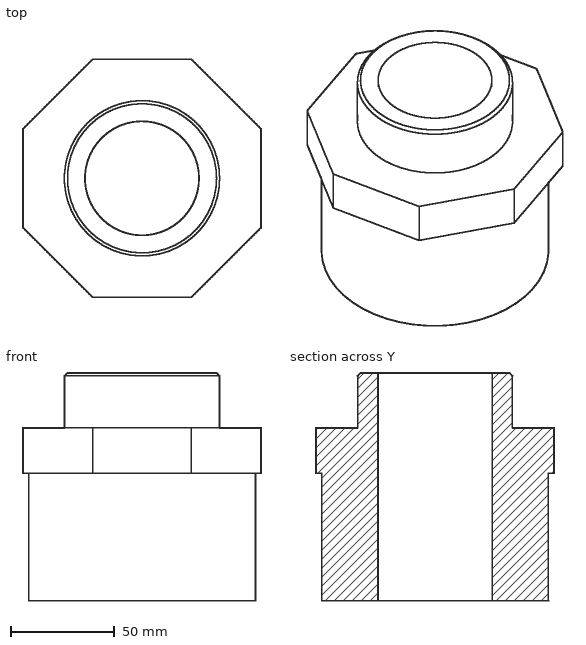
import cadquery as cq
import math

across_flats = 115.0
total_height = 110.0
body_diameter = 109.7
body_height = 61.5
collar_height = 22.0
spigot_diameter = 75.0
bore_diameter = 55.0
rim_chamfer = 1.5

collar_sides = 8
across_corners = across_flats / math.cos(math.pi / collar_sides)
collar_top = body_height + collar_height
spigot_height = total_height - collar_top

body = cq.Workplane("XY").circle(body_diameter / 2).extrude(body_height)

collar = (
    cq.Workplane("XY")
    .workplane(offset=body_height)
    .transformed(rotate=(0, 0, 180 / collar_sides))
    .polygon(collar_sides, across_corners)
    .extrude(collar_height)
)

spigot = (
    cq.Workplane("XY")
    .workplane(offset=collar_top)
    .circle(spigot_diameter / 2)
    .extrude(spigot_height)
    .faces(">Z")
    .edges()
    .chamfer(rim_chamfer)
)

bore = cq.Workplane("XY").circle(bore_diameter / 2).extrude(total_height)

result = body.union(collar).union(spigot).cut(bore)